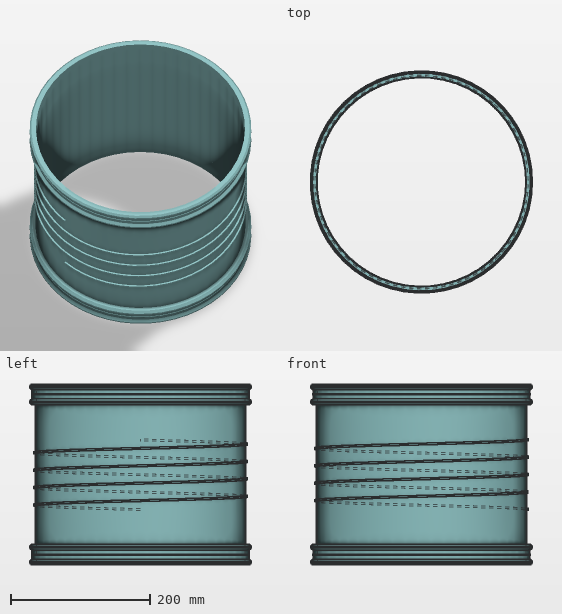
import cadquery as cq

overall_height = 259.0
outer_radius = 318.5 / 2

bore_radius = 300.0 / 2
tube_outer_radius = 302.0 / 2

collar_height = 29.5
groove_radius = 311.7 / 2
ridge_land = 2.2
rim_bevel = 2.5
ridge_bevel = outer_radius - groove_radius
bead_height = 0.5
bead_half_width = 0.5

rib_height = 100.0
rib_turns = 4
rib_pitch = rib_height / rib_turns
rib_width = 2.5
rib_projection = 2.2
rib_embed = 0.48

tube_length = overall_height - 2 * collar_height


def make_collar():
    """Collar with its rim on z = 0, extending downwards."""
    land_top = -rim_bevel
    land_bottom = land_top - ridge_land
    groove_top = land_bottom - ridge_bevel
    inner_land_bottom = -collar_height + ridge_bevel
    inner_land_top = inner_land_bottom + ridge_land
    groove_bottom = inner_land_top + ridge_bevel
    bead_z = (groove_top + groove_bottom) / 2
    profile = (
        cq.Workplane("XZ")
        .moveTo(bore_radius, 0)
        .lineTo(outer_radius - rim_bevel, 0)
        .lineTo(outer_radius, land_top)
        .lineTo(outer_radius, land_bottom)
        .lineTo(groove_radius, groove_top)
        .lineTo(groove_radius, bead_z + bead_half_width)
        .threePointArc(
            (groove_radius + bead_height, bead_z),
            (groove_radius, bead_z - bead_half_width),
        )
        .lineTo(groove_radius, groove_bottom)
        .lineTo(outer_radius, inner_land_top)
        .lineTo(outer_radius, inner_land_bottom)
        .lineTo(groove_radius, -collar_height)
        .lineTo(bore_radius, -collar_height)
        .close()
    )
    return profile.revolve(360, (0, 0, 0), (0, 1, 0))


def make_rib():
    """Right-handed helical rib, starting and ending on the +X side."""
    inner_radius = tube_outer_radius - rib_embed
    path = cq.Wire.makeHelix(rib_pitch, rib_height, inner_radius)
    rib_depth = rib_projection + rib_embed
    section = (
        cq.Workplane("XZ")
        .center(inner_radius + rib_depth / 2, 0)
        .rect(rib_depth, rib_width)
    )
    rib = section.sweep(cq.Workplane(obj=path), isFrenet=True)
    return rib.translate((0, 0, -rib_height / 2))


def make_tube():
    """Tube with the helical rib as part of its wall."""
    wall = (
        cq.Workplane("XY", origin=(0, 0, -tube_length / 2))
        .circle(tube_outer_radius)
        .circle(bore_radius)
        .extrude(tube_length)
    )
    return wall.union(make_rib())


tube = make_tube()

collars = []
for turn in (0, 180):
    collar = make_collar().translate((0, 0, overall_height / 2))
    collars.append(collar.rotate((0, 0, 0), (1, 0, 0), turn).val())

result = cq.Compound.makeCompound([tube.solids().val(), *collars])